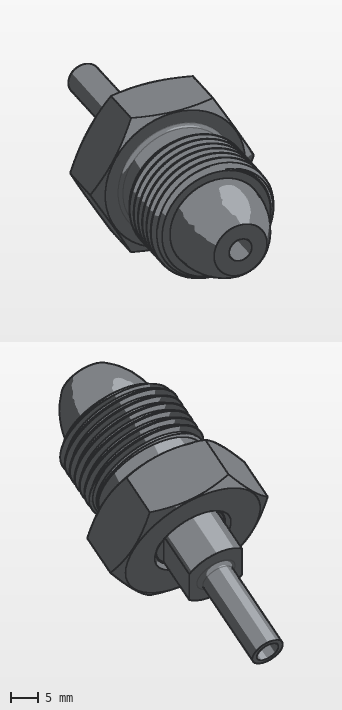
import cadquery as cq
import math


TOTAL_LENGTH = 66.7
STEM_START = 19.15
HEX_START = 27.55
HEX_END = 38.9
THREAD_START = 43.1
NUT_END = 56.35

BORE_DIAMETER = 4.55
TUBE_DIAMETER = 6.4
TUBE_FILLET = 0.8
STEM_DIAMETER = 14.2
WRENCH_FLATS = 11.1
FLAT_RECESS = 1.0
NOSE_RADIUS = 9.35
NOSE_TIP_RADIUS = 5.35

HEX_FLATS = 28.6
HEX_CHAMFER_DIAMETER = 28.3
HEX_CHAMFER_ANGLE = 30.0
NUT_BORE_DIAMETER = 14.5
MOUTH_DIAMETER = 16.0
COLLAR_RADIUS = 21.9 / 2
COLLAR_FILLET = 0.7

RIDGE_LENGTH = 16.35
THREAD_TURNS = 9
PITCH = RIDGE_LENGTH / THREAD_TURNS
CREST_RADIUS = 12.2
ROOT_RADIUS = 11.15
CREST_WIDTH = 0.3
ROOT_WIDTH = 0.55
RIDGE_SINK = 0.1
THREAD_LEAD_IN = 1.15


def cylinder(diameter, start, end):
    """Solid cylinder on the X axis between two stations."""
    return cq.Workplane("YZ", origin=(start, 0, 0)).circle(diameter / 2).extrude(end - start)


def spin(profile):
    """Revolve a profile drawn in the XY plane about the X axis."""
    return profile.revolve(360, (0, 0, 0), (1, 0, 0))


def make_nipple():
    tube_radius = TUBE_DIAMETER / 2
    stem_radius = STEM_DIAMETER / 2

    nose_length = TOTAL_LENGTH - NUT_END
    nose_drop = NOSE_RADIUS - NOSE_TIP_RADIUS
    nose_curve = (nose_length**2 + nose_drop**2) / (2 * nose_drop)

    body = spin(
        cq.Workplane("XY")
        .moveTo(0, 0)
        .lineTo(0, tube_radius)
        .lineTo(STEM_START - TUBE_FILLET, tube_radius)
        .radiusArc((STEM_START, tube_radius + TUBE_FILLET), -TUBE_FILLET)
        .lineTo(STEM_START, stem_radius)
        .lineTo(NUT_END, stem_radius)
        .lineTo(NUT_END, NOSE_RADIUS)
        .radiusArc((TOTAL_LENGTH, NOSE_TIP_RADIUS), nose_curve)
        .lineTo(TOTAL_LENGTH, 0)
        .close()
    )

    flat_length = HEX_START + FLAT_RECESS - STEM_START
    between_flats = (
        cq.Workplane("YZ", origin=(STEM_START, 0, 0))
        .rect(WRENCH_FLATS, STEM_DIAMETER)
        .extrude(flat_length)
    )
    outside_flats = cylinder(STEM_DIAMETER, STEM_START, STEM_START + flat_length).cut(between_flats)
    return body.cut(outside_flats).cut(cylinder(BORE_DIAMETER, 0, TOTAL_LENGTH))


def make_hexagon():
    """Hexagon with flats facing +Z and -Z and both ends chamfered by cones."""
    corner_diameter = HEX_FLATS / math.cos(math.pi / 6)
    prism = (
        cq.Workplane("YZ", origin=(HEX_START, 0, 0))
        .polygon(6, corner_diameter)
        .extrude(HEX_END - HEX_START)
    )
    face_radius = HEX_CHAMFER_DIAMETER / 2
    corner_radius = corner_diameter / 2
    chamfer_length = (corner_radius - face_radius) * math.tan(math.radians(HEX_CHAMFER_ANGLE))
    cones = spin(
        cq.Workplane("XY").polyline([
            (HEX_START, 0),
            (HEX_START, face_radius),
            (HEX_START + chamfer_length, corner_radius),
            (HEX_END - chamfer_length, corner_radius),
            (HEX_END, face_radius),
            (HEX_END, 0),
        ]).close()
    )
    return prism.intersect(cones)


def make_collar():
    """Plain neck between hexagon and thread, filleted into the hexagon."""
    return spin(
        cq.Workplane("XY")
        .moveTo(HEX_END, 0)
        .lineTo(HEX_END, COLLAR_RADIUS + COLLAR_FILLET)
        .radiusArc((HEX_END + COLLAR_FILLET, COLLAR_RADIUS), -COLLAR_FILLET)
        .lineTo(THREAD_START, COLLAR_RADIUS)
        .lineTo(THREAD_START, 0)
        .close()
    )


def make_ridge():
    """Helical ridge, swept along Z and then laid onto the X axis."""
    base_radius = ROOT_RADIUS - RIDGE_SINK
    half_crest = CREST_WIDTH / 2
    half_foot = (PITCH - ROOT_WIDTH) / 2
    flank_slope = (half_foot - half_crest) / (CREST_RADIUS - ROOT_RADIUS)
    half_base = half_foot + flank_slope * RIDGE_SINK
    helix = cq.Wire.makeHelix(PITCH, RIDGE_LENGTH, base_radius)
    ridge = (
        cq.Workplane("XZ")
        .polyline([
            (base_radius, -half_base),
            (CREST_RADIUS, -half_crest),
            (CREST_RADIUS, half_crest),
            (base_radius, half_base),
        ])
        .close()
        .sweep(cq.Workplane(obj=helix), isFrenet=True)
    )
    ridge = ridge.rotate((0, 0, 0), (0, 1, 0), 90)
    return ridge.translate((THREAD_START - THREAD_LEAD_IN, 0, 0))


def make_thread():
    """Threaded length, with both ends chamfered at 45 degrees to the collar radius."""
    cone_rise = (NUT_END - THREAD_START) / 2
    envelope = spin(
        cq.Workplane("XY").polyline([
            (THREAD_START, 0),
            (THREAD_START, COLLAR_RADIUS),
            (THREAD_START + cone_rise, COLLAR_RADIUS + cone_rise),
            (NUT_END, COLLAR_RADIUS),
            (NUT_END, 0),
        ]).close()
    )
    core = cylinder(2 * ROOT_RADIUS, THREAD_START, NUT_END)
    return core.intersect(envelope).union(make_ridge().intersect(envelope))


def make_nut():
    body = make_hexagon().union(make_collar()).union(make_thread())
    bore = cylinder(NUT_BORE_DIAMETER, HEX_START, NUT_END)
    mouth_depth = (MOUTH_DIAMETER - NUT_BORE_DIAMETER) / 2
    mouth = spin(
        cq.Workplane("XY").polyline([
            (HEX_START, 0),
            (HEX_START, MOUTH_DIAMETER / 2),
            (HEX_START + mouth_depth, NUT_BORE_DIAMETER / 2),
            (HEX_START + mouth_depth, 0),
        ]).close()
    )
    return body.cut(bore).cut(mouth)


nipple = make_nipple()
nut = make_nut()
result = cq.Compound.makeCompound([nipple.solids().val(), nut.solids().val()])